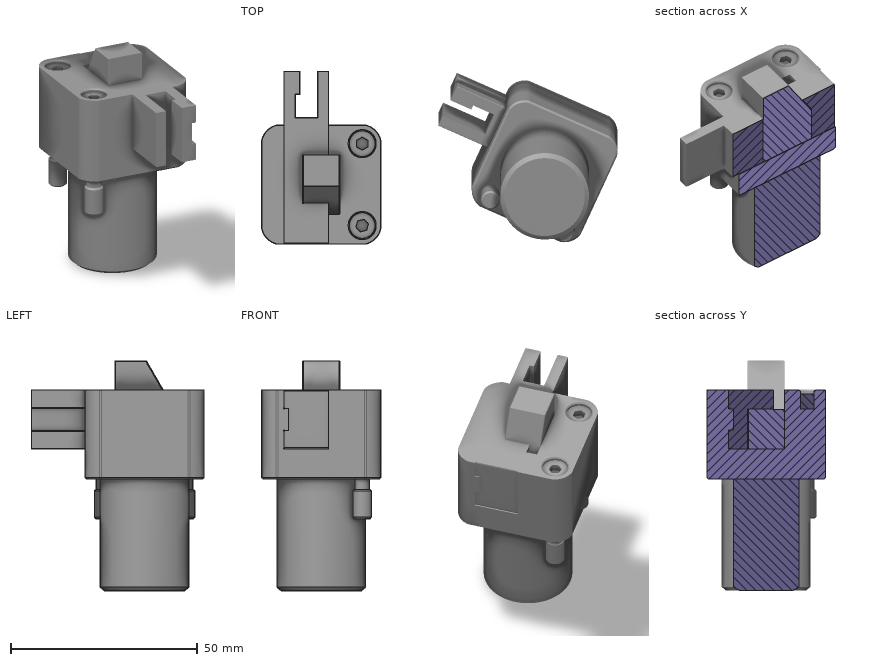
import cadquery as cq
import math

TOTAL_HEIGHT = 61.8

BLOCK_SIDE = 32.0
BLOCK_HEIGHT = 24.0
BLOCK_CORNER_INSET = 4.15
BLOCK_CORNER_RADIUS = 5.5
BLOCK_BLEND_RADIUS = 2.0
BLOCK_BOTTOM_CHAMFER = 0.5
HALF_SIDE = BLOCK_SIDE / 2
FLAT_END = HALF_SIDE - BLOCK_CORNER_INSET

BARREL_DIAMETER = 23.85
BARREL_LENGTH = 30.0
BARREL_CHAMFER_HEIGHT = 1.0
BARREL_CHAMFER_WIDTH = 1.2

SLIDE_WIDTH = 12.0
SLIDE_HEIGHT = 15.8
SLIDE_LEFT = -10.0
SLIDE_OVERHANG = 14.4
SLIDE_FRONT_GAP = 0.25
SLIDE_FRONT_CHAMFER_LENGTH = 0.3
SLIDE_EDGE_CHAMFER = 0.1
SLIDE_RIGHT = SLIDE_LEFT + SLIDE_WIDTH
SLIDE_BOTTOM = BLOCK_HEIGHT - SLIDE_HEIGHT
SLIDE_FRONT = -HALF_SIDE + SLIDE_FRONT_GAP
SLIDE_REAR = HALF_SIDE + SLIDE_OVERHANG

GROOVE_DEPTH = 1.25
GROOVE_HEIGHT = 5.9
GROOVE_BELOW_TOP = 5.0
GROOVE_EDGE_CHAMFER = 0.25
GROOVE_TOP = BLOCK_HEIGHT - GROOVE_BELOW_TOP
GROOVE_BOTTOM = GROOVE_TOP - GROOVE_HEIGHT

FORK_SLOT_DEPTH = 12.4
FORK_SLOT_WIDTH = 6.0
FORK_LEFT_PRONG = 3.0
HOOK_LENGTH = 6.2
HOOK_REACH = 1.25
FORK_LEFT = SLIDE_LEFT + FORK_LEFT_PRONG
FORK_RIGHT = FORK_LEFT + FORK_SLOT_WIDTH

WEDGE_WIDTH = 10.0
WEDGE_LENGTH = 16.0
WEDGE_SLOPE_ANGLE = 60.0
WEDGE_SLOPE_Y = -5.0
WEDGE_EDGE_CHAMFER = 0.2
WEDGE_RIDGE_CHAMFER = 0.1
HALF_WEDGE_WIDTH = WEDGE_WIDTH / 2
WEDGE_TOP = TOTAL_HEIGHT - BARREL_LENGTH
WEDGE_REAR = WEDGE_LENGTH / 2
WEDGE_FRONT = -WEDGE_REAR

SCREW_OFFSET = 11.0
HEAD_DIAMETER = 6.9
HEAD_HEIGHT = 4.0
HEAD_RECESS = 1.0
COUNTERBORE_CHAMFER = 0.3
SOCKET_ACROSS_FLATS = 3.0
SOCKET_DEPTH = 2.0
NECK_DIAMETER = 3.95
NECK_EXPOSED = 2.7
THREAD_DIAMETER = 5.0
THREAD_LENGTH = 7.9
THREAD_CHAMFER = 0.45
REAR_SOCKET_TURN = 0.0
FRONT_SOCKET_TURN = -15.0
HEAD_TOP = BLOCK_HEIGHT - HEAD_RECESS
HEAD_BOTTOM = HEAD_TOP - HEAD_HEIGHT
SCREW_YS_AND_TURNS = [(SCREW_OFFSET, REAR_SOCKET_TURN), (-SCREW_OFFSET, FRONT_SOCKET_TURN)]


def box(x_min, x_max, y_min, y_max, z_min, z_max):
    size = (x_max - x_min, y_max - y_min, z_max - z_min)
    return cq.Workplane().box(*size, centered=False).translate((x_min, y_min, z_min))


def cylinder(diameter, z_min, z_max):
    return cq.Workplane().workplane(offset=z_min).circle(diameter / 2).extrude(z_max - z_min)



def make_grooved_bar(y_min, y_max):
    """Sharp-edged slide section: a bar with the guide groove along its left side."""
    bar = box(SLIDE_LEFT, SLIDE_RIGHT, y_min, y_max, SLIDE_BOTTOM, BLOCK_HEIGHT)
    groove = box(SLIDE_LEFT, SLIDE_LEFT + GROOVE_DEPTH, y_min, y_max, GROOVE_BOTTOM, GROOVE_TOP)
    return bar.cut(groove)


def make_sharp_wedge():
    """Wedge before its edges are broken; it stands on the floor of the slide channel."""
    slope = math.tan(math.radians(WEDGE_SLOPE_ANGLE))
    ridge_y = WEDGE_SLOPE_Y + (WEDGE_TOP - BLOCK_HEIGHT) / slope
    slope_end_z = BLOCK_HEIGHT - (WEDGE_SLOPE_Y - WEDGE_FRONT) * slope
    profile = [
        (WEDGE_REAR, SLIDE_BOTTOM),
        (WEDGE_REAR, WEDGE_TOP),
        (ridge_y, WEDGE_TOP),
        (WEDGE_FRONT, slope_end_z),
        (WEDGE_FRONT, SLIDE_BOTTOM),
    ]
    return cq.Workplane("YZ").polyline(profile).close().extrude(HALF_WEDGE_WIDTH, both=True)



def make_block_body():
    half_chord = BLOCK_CORNER_INSET / math.sqrt(2)
    sagitta = BLOCK_CORNER_RADIUS - math.sqrt(BLOCK_CORNER_RADIUS**2 - half_chord**2)
    corner_arcs = [
        ((FLAT_END, -HALF_SIDE), (HALF_SIDE, -FLAT_END)),
        ((HALF_SIDE, FLAT_END), (FLAT_END, HALF_SIDE)),
        ((-FLAT_END, HALF_SIDE), (-HALF_SIDE, FLAT_END)),
        ((-HALF_SIDE, -FLAT_END), (-FLAT_END, -HALF_SIDE)),
    ]
    outline = cq.Workplane().moveTo(-FLAT_END, -HALF_SIDE)
    for arc_start, arc_end in corner_arcs:
        outline = outline.lineTo(*arc_start).sagittaArc(arc_end, -sagitta)
    body = outline.close().extrude(BLOCK_HEIGHT)
    body = body.edges("|Z").fillet(BLOCK_BLEND_RADIUS)
    return body.faces("<Z").chamfer(BLOCK_BOTTOM_CHAMFER)


def make_wedge_pocket():
    pocket = box(-HALF_WEDGE_WIDTH, HALF_WEDGE_WIDTH, WEDGE_FRONT, WEDGE_REAR, SLIDE_BOTTOM, BLOCK_HEIGHT)
    return pocket.edges("|Z").chamfer(WEDGE_EDGE_CHAMFER)


def make_screw_bore(y):
    """Neck hole and counterbore with a chamfered mouth."""
    bore = cylinder(NECK_DIAMETER, 0, BLOCK_HEIGHT)
    bore = bore.union(cylinder(HEAD_DIAMETER, HEAD_BOTTOM, BLOCK_HEIGHT))
    mouth = cq.Solid.makeCone(
        HEAD_DIAMETER / 2,
        HEAD_DIAMETER / 2 + COUNTERBORE_CHAMFER,
        COUNTERBORE_CHAMFER,
        pnt=cq.Vector(0, 0, BLOCK_HEIGHT - COUNTERBORE_CHAMFER),
    )
    return bore.union(cq.Workplane(mouth)).translate((SCREW_OFFSET, y, 0))


def make_block():
    block = make_block_body()
    block = block.cut(make_grooved_bar(-HALF_SIDE, HALF_SIDE))
    block = block.cut(make_wedge_pocket())
    for y, _ in SCREW_YS_AND_TURNS:
        block = block.cut(make_screw_bore(y))
    return block



def make_barrel():
    barrel = cylinder(BARREL_DIAMETER, -BARREL_LENGTH, 0)
    radius = BARREL_DIAMETER / 2
    ring_profile = [
        (radius, -BARREL_LENGTH),
        (radius, -BARREL_LENGTH + BARREL_CHAMFER_HEIGHT),
        (radius - BARREL_CHAMFER_WIDTH, -BARREL_LENGTH),
    ]
    ring = cq.Workplane("XZ").polyline(ring_profile).close().revolve(360, (0, 0), (0, 1))
    return barrel.cut(ring)



def make_slide_bar():
    bar = make_grooved_bar(SLIDE_FRONT, SLIDE_REAR)
    groove_mouth = cq.selectors.BoxSelector(
        (SLIDE_LEFT - GROOVE_DEPTH / 2, SLIDE_FRONT, GROOVE_BOTTOM - GROOVE_DEPTH / 2),
        (SLIDE_LEFT + GROOVE_DEPTH / 2, SLIDE_REAR, GROOVE_TOP + GROOVE_DEPTH / 2),
    )
    bar = bar.edges("|Y").edges(groove_mouth).chamfer(GROOVE_EDGE_CHAMFER)
    bar = bar.faces("<Y").edges("<Z or >Z").chamfer(SLIDE_FRONT_CHAMFER_LENGTH, SLIDE_EDGE_CHAMFER)
    return bar.faces("<Z").edges("|Y").chamfer(SLIDE_EDGE_CHAMFER)


def make_fork_slot():
    slot_end = SLIDE_REAR - FORK_SLOT_DEPTH
    hook_end = SLIDE_REAR - HOOK_LENGTH
    slot = box(FORK_LEFT, FORK_RIGHT, slot_end, hook_end, SLIDE_BOTTOM, BLOCK_HEIGHT)
    mouth = box(FORK_LEFT + HOOK_REACH, FORK_RIGHT, hook_end, SLIDE_REAR, SLIDE_BOTTOM, BLOCK_HEIGHT)
    return slot.union(mouth)


def make_slide():
    return make_slide_bar().cut(make_fork_slot()).cut(make_sharp_wedge())



def make_wedge():
    wedge = make_sharp_wedge()
    ridge = wedge.faces(">Z").edges("<Y")
    wedge = ridge.chamfer(WEDGE_RIDGE_CHAMFER)
    return wedge.faces("<X or >X").edges("not <Z").chamfer(WEDGE_EDGE_CHAMFER)



def make_screw(y, socket_turn):
    thread = cylinder(THREAD_DIAMETER, -NECK_EXPOSED - THREAD_LENGTH, -NECK_EXPOSED)
    thread = thread.faces("<Z or >Z").chamfer(THREAD_CHAMFER)
    neck = cylinder(NECK_DIAMETER, -NECK_EXPOSED, HEAD_BOTTOM)
    head = cylinder(HEAD_DIAMETER, HEAD_BOTTOM, HEAD_TOP)
    socket = (
        cq.Workplane()
        .workplane(offset=HEAD_TOP - SOCKET_DEPTH)
        .polygon(6, SOCKET_ACROSS_FLATS, circumscribed=True)
        .extrude(SOCKET_DEPTH)
        .rotate((0, 0, 0), (0, 0, 1), socket_turn)
    )
    return thread.union(neck).union(head).cut(socket).translate((SCREW_OFFSET, y, 0))


block = make_block()
barrel = make_barrel()
slide = make_slide()
wedge = make_wedge()
screws = [make_screw(y, turn).val() for y, turn in SCREW_YS_AND_TURNS]

result = cq.Compound.makeCompound([block.val(), barrel.val(), slide.val(), wedge.val(), *screws])